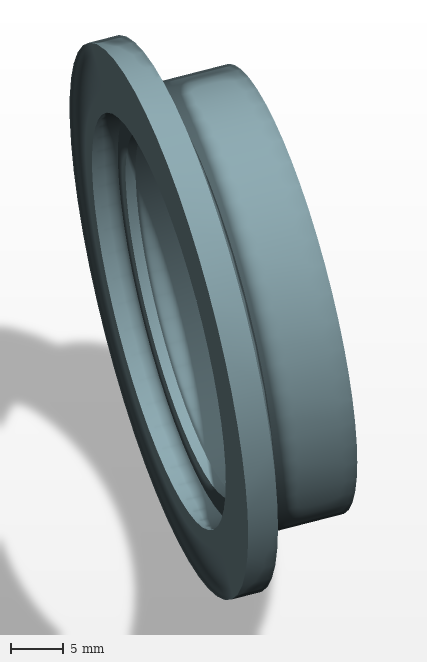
import cadquery as cq
import math

flange_diameter = 55.0
tube_diameter = 44.45
recess_diameter = 41.2
lip_diameter = 36.4
bore_diameter = 38.4
total_length = 12.7
rim_thickness = 3.0
clamp_angle = 15.0
recess_depth = 2.6
lip_thickness = 1.0

flange_radius = flange_diameter / 2
tube_radius = tube_diameter / 2
recess_radius = recess_diameter / 2
lip_radius = lip_diameter / 2
bore_radius = bore_diameter / 2

face_y = -total_length / 2
tube_end_y = face_y + total_length
rim_y = face_y + rim_thickness
cone_end_y = rim_y + (flange_radius - tube_radius) * math.tan(math.radians(clamp_angle))
recess_floor_y = face_y + recess_depth
lip_end_y = recess_floor_y + lip_thickness


def revolve_about_y(profile):
    """Turn a closed (radius, y) outline into a solid of revolution about the Y axis."""
    return cq.Workplane("XY").polyline(profile).close().revolve(360, (0, 0, 0), (0, 1, 0))


section = [
    (recess_radius, face_y),
    (flange_radius, face_y),
    (flange_radius, rim_y),
    (tube_radius, cone_end_y),
    (tube_radius, tube_end_y),
    (bore_radius, tube_end_y),
    (bore_radius, lip_end_y),
    (lip_radius, lip_end_y),
    (lip_radius, recess_floor_y),
    (recess_radius, recess_floor_y),
]

result = revolve_about_y(section)